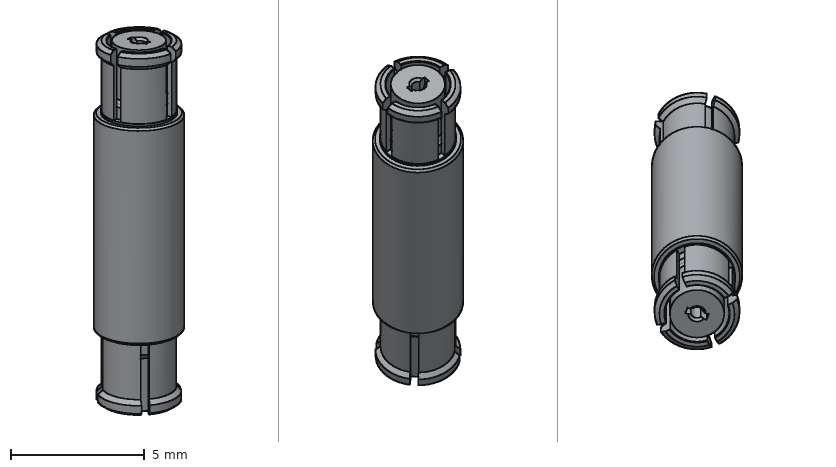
import cadquery as cq
import math


length = 14.5
half_length = length / 2
body_radius = 1.7

socket_depth = 2.9
body_chamfer = 0.09
collar_radius = 1.44
collar_height = 0.09

neck_radius = 1.4
lip_radius = 1.6
lip_tip_radius = 1.4
lip_tip_height = 0.13
lip_flat_end = 0.45
lip_end = 0.62
bore_radius = 1.2
mouth_chamfer = 0.03

slot_count = 4
slot_width = 0.32
slot_depth = socket_depth - collar_height
upper_slot_angle = 0.0
lower_slot_angle = 180.0 / slot_count

post_radius = 1.02
post_step_radius = 1.1
post_cone_start = 2.12
post_step_depth = 2.25
bore_depth = 2.33

hole_radius = 0.23
hole_mouth_radius = 0.33
hole_depth = 2.12
hole_tip_angle = 118.0
contact_slot_length = 0.84
contact_slot_width = 0.25
contact_slot_depth = 1.45


def revolve_profile(points):
    """Turn a closed (radius, z) outline around the Z axis."""
    return cq.Workplane("XZ").polyline(points).close().revolve(360, (0, 0, 0), (0, 1, 0))


def make_barrel():
    """Plain section between the two sockets, chamfered at both ends."""
    barrel = cq.Workplane("XY").cylinder(length - 2 * socket_depth, body_radius)
    return barrel.faces("<Z or >Z").edges().chamfer(body_chamfer)


def make_sleeve(slot_angle):
    """Lipped tube, split into fingers by radial slots."""
    shoulder_z = half_length - socket_depth
    collar_z = shoulder_z + collar_height
    sleeve = revolve_profile([
        (bore_radius, shoulder_z),
        (collar_radius, shoulder_z),
        (collar_radius, collar_z),
        (neck_radius, collar_z),
        (neck_radius, half_length - lip_end),
        (lip_radius, half_length - lip_flat_end),
        (lip_radius, half_length - lip_tip_height),
        (lip_tip_radius, half_length),
        (bore_radius + mouth_chamfer, half_length),
        (bore_radius, half_length - mouth_chamfer),
    ])
    for index in range(slot_count):
        slot = (
            cq.Workplane("XY")
            .box(body_radius, slot_width, slot_depth, centered=(False, True, False))
            .translate((0, 0, half_length - slot_depth))
            .rotate((0, 0, 0), (0, 0, 1), slot_angle + index * 360.0 / slot_count)
        )
        sleeve = sleeve.cut(slot)
    return sleeve


def make_post():
    """Insulator that fills the base of the bore and rises to the end face."""
    return revolve_profile([
        (0, 0),
        (bore_radius, 0),
        (bore_radius, half_length - bore_depth),
        (post_step_radius, half_length - post_step_depth),
        (post_radius, half_length - post_cone_start),
        (post_radius, half_length),
        (0, half_length),
    ])


def make_contact_socket():
    """Drilled contact hole with a countersunk mouth and a cross slot."""
    tip_height = hole_radius / math.tan(math.radians(hole_tip_angle / 2))
    mouth_height = hole_mouth_radius - hole_radius
    hole = revolve_profile([
        (0, half_length - hole_depth - tip_height),
        (hole_radius, half_length - hole_depth),
        (hole_radius, half_length - mouth_height),
        (hole_mouth_radius, half_length),
        (0, half_length),
    ])
    slot = (
        cq.Workplane("XY")
        .box(contact_slot_length, contact_slot_width, contact_slot_depth, centered=(True, True, False))
        .translate((0, 0, half_length - contact_slot_depth))
    )
    return hole.union(slot)


def make_end(slot_angle):
    """Slotted sleeve and post at the upper end."""
    return make_post().union(make_sleeve(slot_angle))


upper_end = make_end(upper_slot_angle)
lower_end = make_end(lower_slot_angle).mirror("XY")
upper_hole = make_contact_socket()
lower_hole = upper_hole.mirror("XY")
result = make_barrel().union(upper_end).union(lower_end).cut(upper_hole).cut(lower_hole)